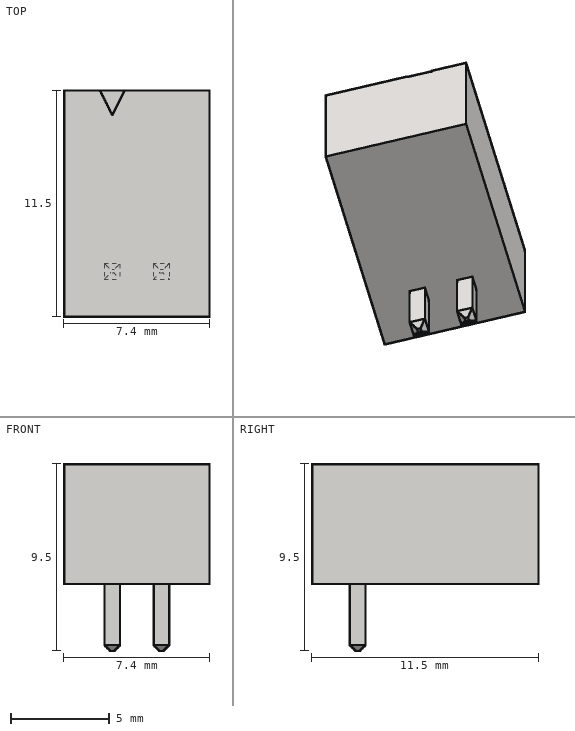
import cadquery as cq

housing_width = 7.4
housing_length = 11.5
overall_height = 9.5
pin_length = 3.4
housing_height = overall_height - pin_length

pin_count = 2
pin_size = 0.8
pin_pitch = 2.5
pin_tip_chamfer = 0.31
pin_inset = 2.31
pin_y = -housing_length / 2 + pin_inset
pin_xs = [(i - (pin_count - 1) / 2) * pin_pitch for i in range(pin_count)]

mark_width = 1.25
mark_length = 1.25
mark_depth = 0.05


def make_housing():
    block = cq.Workplane("XY").box(
        housing_width, housing_length, housing_height, centered=(True, True, False)
    )
    mark_x = pin_xs[0]
    back_y = housing_length / 2
    mark = (
        cq.Workplane("XY", origin=(0, 0, housing_height))
        .moveTo(mark_x - mark_width / 2, back_y)
        .lineTo(mark_x + mark_width / 2, back_y)
        .lineTo(mark_x, back_y - mark_length)
        .close()
        .extrude(-mark_depth)
    )
    return block.cut(mark)


def make_pin(x):
    return (
        cq.Workplane("XY", origin=(x, pin_y, 0))
        .rect(pin_size, pin_size)
        .extrude(-pin_length)
        .faces("<Z")
        .chamfer(pin_tip_chamfer)
    )


housing = make_housing()
pins = [make_pin(x) for x in pin_xs]

result = cq.Compound.makeCompound([housing.val(), *[pin.val() for pin in pins]])